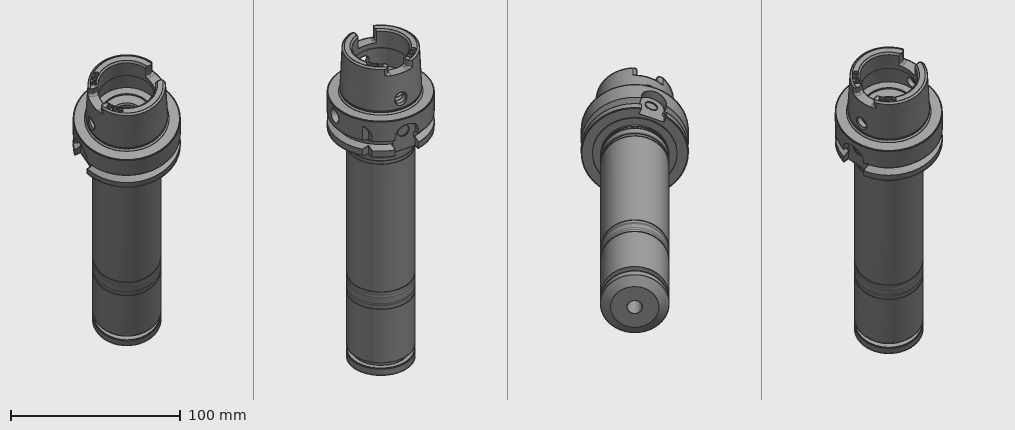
import cadquery as cq
import math

length = 226.0
flange_top = 194.0
flange_bottom = 168.0

body_radius = 40.5 / 2
ring_radius = 40.0 / 2
tip_radius = 14.2
tip_height = 3.6
nut_top = 8.5
nut_groove_radius = 17.0
nut_groove_top = 12.7
nut_edge = 0.5
ring_width = 2.5
ring_bevel = 1.5
band_bottom = 55.1
band_top = 59.5
ridge_height = 157.7
wide_ring_top = 163.6
relief_bottom = 165.5

flange_radius = 63.0 / 2
flange_chamfer = 0.5
collar_radius = 24.9
collar_height = 0.7
collar_bottom = flange_bottom - collar_height
grip_floor_radius = 27.3
grip_middle = 176.0
grip_mouth = 6.8
grip_floor = 3.2

taper_top_radius = 22.8
taper_base_radius = 24.2
taper_base = 196.0
neck_radius = 23.7
neck_bottom = 194.8
neck_collar_radius = 24.9
rim_outer_radius = 21.5
rim_outer_drop = 0.8

mouth_radius = 18.0
bore_radius = 17.0
clamp_edge = 213.0
clamp_radius = 40.0 / 2
clamp_angle = 30.0
cavity_floor = 197.8
recess_radius = 15.4
recess_depth = 1.1
tube_radius = 17.0 / 2
tube_depth = 18.0
tube_chamfer = 1.0
coolant_radius = 4.5

keyway_half_width = 6.3
keyway_corner = 2.3
keyway_floor_fillet = 1.4
front_keyway_floor = 220.4
back_keyway_floor = 216.5

pin_hole_radius = 3.0 / 2
pin_hole_depth = 2.3
drill_angle = 118.0
pin_circle_radius = 19.5
pin_middle_angle = 41.0
pin_spacing_angle = 10.5
cross_hole_radius = 7.5 / 2
cross_hole_height = 203.0
cross_hole_mouth_radius = 4.5

flange_slot_radius = 8.0
flange_slot_height = 181.3
flange_slot_flat = 26.5
slot_hole_radius = 3.8
slot_hole_depth = 0.7
notch_wall = 20.1
notch_cutter_radius = 7.0
notch_cutter_height = 182.5
side_hole_radius = 4.5
side_hole_height = 187.1
side_hole_depth = 4.5

clearance = 2.0 * flange_radius


def revolve(points):
    """Turn a closed (radius, height) outline about the Z axis."""
    return cq.Workplane("XZ").polyline(points).close().revolve(360, (0, 0), (0, 1))


def outer_body():
    nut = [
        (0, 0),
        (tip_radius, 0),
        (body_radius, tip_height),
        (body_radius, nut_top - nut_edge),
        (body_radius - nut_edge, nut_top),
        (nut_groove_radius, nut_top),
        (nut_groove_radius, nut_groove_top),
        (body_radius, nut_groove_top),
    ]
    lower_rings = [
        (body_radius, band_bottom - ring_bevel - ring_width),
        (ring_radius, band_bottom - ring_bevel - ring_width),
        (ring_radius, band_bottom - ring_bevel),
        (body_radius, band_bottom),
        (body_radius, band_top),
        (ring_radius, band_top + ring_bevel),
        (ring_radius, band_top + ring_bevel + ring_width),
        (body_radius, band_top + ring_bevel + ring_width),
    ]
    upper_rings = [
        (body_radius, ridge_height - ring_width),
        (ring_radius, ridge_height - ring_width),
        (ring_radius, ridge_height),
        (body_radius, ridge_height),
        (ring_radius, ridge_height + ring_bevel),
        (ring_radius, wide_ring_top),
        (body_radius, wide_ring_top),
        (body_radius, relief_bottom),
        (ring_radius, relief_bottom),
    ]
    flange = [
        (ring_radius, collar_bottom),
        (collar_radius, collar_bottom),
        (collar_radius, flange_bottom),
        (flange_radius - flange_chamfer, flange_bottom),
        (flange_radius, flange_bottom + flange_chamfer),
        (flange_radius, grip_middle - grip_mouth / 2),
        (grip_floor_radius, grip_middle - grip_floor / 2),
        (grip_floor_radius, grip_middle + grip_floor / 2),
        (flange_radius, grip_middle + grip_mouth / 2),
        (flange_radius, flange_top - flange_chamfer),
        (flange_radius - flange_chamfer, flange_top),
    ]
    shank = [
        (neck_collar_radius, flange_top),
        (neck_radius, neck_bottom),
        (neck_radius, taper_base),
        (taper_base_radius, taper_base),
        (taper_top_radius, length - rim_outer_drop),
        (rim_outer_radius, length),
        (0, length),
    ]
    return revolve(nut + lower_rings + upper_rings + flange + shank)


def interior():
    clamp_drop = (clamp_radius - bore_radius) * math.tan(math.radians(clamp_angle))
    recess_floor = cavity_floor - recess_depth
    tube_bottom = recess_floor - tube_depth
    return revolve([
        (0, 0),
        (coolant_radius, 0),
        (coolant_radius, tube_bottom),
        (tube_radius, tube_bottom),
        (tube_radius, recess_floor - tube_chamfer),
        (tube_radius + tube_chamfer, recess_floor),
        (recess_radius, recess_floor),
        (recess_radius, cavity_floor),
        (clamp_radius, cavity_floor),
        (clamp_radius, clamp_edge - clamp_drop),
        (bore_radius, clamp_edge),
        (bore_radius, length - (mouth_radius - bore_radius)),
        (mouth_radius, length),
        (0, length),
    ])


def keyway(floor):
    """Keyway on the +Y side; its walls round off tangent to the shank surface."""
    center_x = keyway_half_width + keyway_corner
    center_distance = taper_top_radius - keyway_corner
    center_y = math.sqrt(center_distance**2 - center_x**2)
    exit_x = center_x * taper_top_radius / center_distance
    exit_y = center_y * taper_top_radius / center_distance
    middle_angle = (math.pi + math.atan2(center_y, center_x)) / 2
    middle_x = center_x + keyway_corner * math.cos(middle_angle)
    middle_y = center_y + keyway_corner * math.sin(middle_angle)
    inner_y = bore_radius / 2
    cutter = (
        cq.Workplane("XY", origin=(0, 0, floor))
        .moveTo(-keyway_half_width, inner_y)
        .lineTo(keyway_half_width, inner_y)
        .lineTo(keyway_half_width, center_y)
        .threePointArc((middle_x, middle_y), (exit_x, exit_y))
        .lineTo(exit_x, clearance)
        .lineTo(-exit_x, clearance)
        .lineTo(-exit_x, exit_y)
        .threePointArc((-middle_x, middle_y), (-keyway_half_width, center_y))
        .close()
        .extrude(length - floor + keyway_corner)
    )
    return cutter.faces("<Z").edges().fillet(keyway_floor_fillet)


def pin_holes():
    """Three small drilled holes in the rim on each side of the -Y keyway."""
    pin_bottom = length - pin_hole_depth
    drill_tip = pin_bottom - pin_hole_radius / math.tan(math.radians(drill_angle / 2))
    drill = revolve([
        (0, drill_tip),
        (pin_hole_radius, pin_bottom),
        (pin_hole_radius, length),
        (0, length),
    ]).translate((0, -pin_circle_radius, 0))
    holes = cq.Workplane("XY")
    for side in (-1, 1):
        for step in (-1, 0, 1):
            angle = side * (pin_middle_angle + step * pin_spacing_angle)
            holes = holes.add(drill.rotate((0, 0, 0), (0, 0, 1), angle))
    return holes.combine()


def cross_hole():
    """Hole through the -Y shank wall with a countersunk mouth."""
    taper_slope = (taper_base_radius - taper_top_radius) / (length - rim_outer_drop - taper_base)
    wall_radius = taper_base_radius - (cross_hole_height - taper_base) * taper_slope
    sink_depth = cross_hole_mouth_radius - cross_hole_radius
    hole = revolve([
        (0, 0),
        (cross_hole_radius, 0),
        (cross_hole_radius, wall_radius - sink_depth),
        (cross_hole_mouth_radius + sink_depth, wall_radius + sink_depth),
        (0, wall_radius + sink_depth),
    ])
    return hole.rotate((0, 0, 0), (1, 0, 0), 90).translate((0, 0, cross_hole_height))


def flange_slot():
    """Round-topped slot on the -Y side with a flat floor and a shallow round recess."""
    slot_plane = cq.Workplane("XZ", origin=(0, -flange_slot_flat, flange_slot_height))
    drop = flange_slot_height - collar_bottom
    slot = slot_plane.circle(flange_slot_radius).extrude(clearance)
    leg = (
        slot_plane.center(0, -drop / 2)
        .rect(2 * flange_slot_radius, drop)
        .extrude(clearance)
    )
    hole = slot_plane.circle(slot_hole_radius).extrude(-slot_hole_depth)
    return slot.union(leg).union(hole)


def orientation_notch():
    """Square-cornered notch at the (-X, -Y) corner, rounded out at its top."""
    reach = 2 * notch_cutter_radius
    notch_height = notch_cutter_height - collar_bottom
    box = cq.Workplane("XY").box(reach, reach, notch_height, centered=False)
    box = box.translate((-notch_wall - reach, -notch_wall - reach, collar_bottom))
    runout = (
        cq.Workplane("XZ", origin=(-notch_wall - notch_cutter_radius, -notch_wall, notch_cutter_height))
        .circle(notch_cutter_radius)
        .extrude(reach)
    )
    return box.union(runout)


def side_hole():
    return (
        cq.Workplane("YZ", origin=(-flange_radius, 0, side_hole_height))
        .circle(side_hole_radius)
        .extrude(side_hole_depth)
    )


result = outer_body().cut(interior())
result = result.cut(keyway(back_keyway_floor))
result = result.cut(keyway(front_keyway_floor).rotate((0, 0, 0), (0, 0, 1), 180))
result = result.cut(pin_holes())
for turn in (0, 180):
    result = result.cut(cross_hole().rotate((0, 0, 0), (0, 0, 1), turn))
    result = result.cut(flange_slot().rotate((0, 0, 0), (0, 0, 1), turn))
result = result.cut(orientation_notch())
result = result.cut(side_hole())